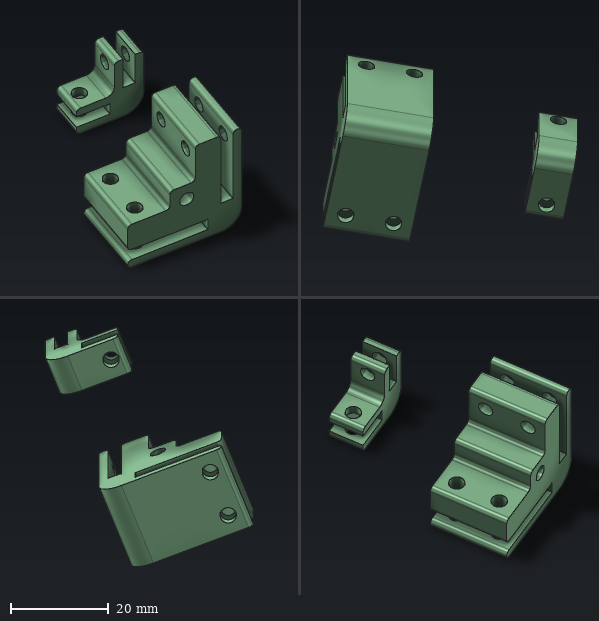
import cadquery as cq


WALL = 2.05
SLOT_WIDTH = 2.9
SLOT_FLOOR = 8.0
SLOT_INNER = WALL + SLOT_WIDTH
CORNER_RADIUS = 5.0
EDGE_RADIUS = 1.0
HOLE_DIAMETER = 3.3

SMALL_WIDTH = 8.0
SMALL_REACH = 16.0
SMALL_ARM = SLOT_INNER + WALL
SMALL_INNER_RADIUS = 2.0
SMALL_HOLE_SETBACK = 3.0

TOTAL_LENGTH = 48.0
LARGE_WIDTH = 18.0
LARGE_START = TOTAL_LENGTH - LARGE_WIDTH
LARGE_REACH = 27.0
LARGE_UPRIGHT = 11.0
LARGE_BASE = 12.0
STEP_REACH = 17.0
LARGE_HOLE_SETBACK = 4.0
LARGE_HOLE_SPACING = 10.0
LARGE_HOLE_XS = [
    LARGE_START + LARGE_WIDTH / 2 + side * LARGE_HOLE_SPACING / 2 for side in (-1, 1)
]
CROSS_HOLE_OFFSET = 13.0


def extrude_profile(points, start_x, width):
    """Extrude a (distance from the back face, height) outline along +X."""
    outline = [(-distance, height) for distance, height in points]
    return cq.Workplane("YZ", origin=(start_x, 0, 0)).polyline(outline).close().extrude(width)


def round_edges(body, corners, radius):
    """Round the lengthwise edges that pass through the given profile corners."""
    middle_x = body.val().BoundingBox().center.x
    edges = body.edges("|X").vals()
    for distance, height in corners:
        target = cq.Vector(middle_x, -distance, height)
        edge = min(edges, key=lambda candidate: (candidate.Center() - target).Length)
        body = body.newObject([edge]).fillet(radius)
        edges = body.edges("|X").vals()
    return body


def cut_slots(body, start_x, width, reach):
    """Cut one panel slot into the open end of each arm."""
    depth = reach - SLOT_FLOOR
    upright_slot = cq.Workplane("XY").box(width, SLOT_WIDTH, depth, centered=False)
    base_slot = cq.Workplane("XY").box(width, depth, SLOT_WIDTH, centered=False)
    body = body.cut(upright_slot.translate((start_x, -SLOT_INNER, SLOT_FLOOR)))
    return body.cut(base_slot.translate((start_x, -reach, WALL)))


def drill_arms(body, hole_xs, offset, reach):
    """Drill through both arms, with the hole axes at offset from the outer corner."""
    radius = HOLE_DIAMETER / 2
    for x in hole_xs:
        through_upright = cq.Solid.makeCylinder(radius, reach, cq.Vector(x, 0, offset), cq.Vector(0, -1, 0))
        through_base = cq.Solid.makeCylinder(radius, reach, cq.Vector(x, -offset, 0), cq.Vector(0, 0, 1))
        body = body.cut(through_upright).cut(through_base)
    return body


def make_small_bracket():
    inner_corner = (SMALL_ARM, SMALL_ARM)
    arm_end_corners = [
        (SMALL_REACH, 0),
        (SMALL_REACH, SMALL_ARM),
        (SMALL_ARM, SMALL_REACH),
        (0, SMALL_REACH),
    ]
    body = extrude_profile(
        [(0, 0), *arm_end_corners[:2], inner_corner, *arm_end_corners[2:]], 0, SMALL_WIDTH
    )
    body = round_edges(body, [(0, 0)], CORNER_RADIUS)
    body = round_edges(body, [inner_corner], SMALL_INNER_RADIUS)
    body = round_edges(body, arm_end_corners, EDGE_RADIUS)
    body = cut_slots(body, 0, SMALL_WIDTH, SMALL_REACH)
    return drill_arms(body, [SMALL_WIDTH / 2], SMALL_REACH - SMALL_HOLE_SETBACK, SMALL_REACH)


def round_plate_ends(body):
    """Give the end of each outer plate of the large bracket a full round."""
    radius = WALL / 2
    round_center = LARGE_REACH - radius
    for y, z, size_y, size_z in (
        (-WALL, round_center, WALL, radius),
        (-LARGE_REACH, 0, radius, WALL),
    ):
        square_end = cq.Workplane("XY").box(LARGE_WIDTH, size_y, size_z, centered=False)
        body = body.cut(square_end.translate((LARGE_START, y, z)))
    for y, z in ((-radius, round_center), (-round_center, radius)):
        round_end = cq.Solid.makeCylinder(
            radius, LARGE_WIDTH, cq.Vector(LARGE_START, y, z), cq.Vector(1, 0, 0)
        )
        body = body.union(round_end)
    return body.clean()


def make_large_bracket():
    inner_corners = [
        (LARGE_REACH, LARGE_BASE),
        (STEP_REACH, LARGE_BASE),
        (STEP_REACH, STEP_REACH),
        (LARGE_UPRIGHT, STEP_REACH),
        (LARGE_UPRIGHT, LARGE_REACH),
    ]
    slot_mouth_corners = [(LARGE_REACH, SLOT_INNER), (SLOT_INNER, LARGE_REACH)]
    body = extrude_profile(
        [(0, 0), (LARGE_REACH, 0), *inner_corners, (0, LARGE_REACH)], LARGE_START, LARGE_WIDTH
    )
    body = cut_slots(body, LARGE_START, LARGE_WIDTH, LARGE_REACH)
    body = round_edges(body, [(0, 0)], CORNER_RADIUS)
    body = round_edges(body, inner_corners + slot_mouth_corners, EDGE_RADIUS)
    body = round_plate_ends(body)
    body = drill_arms(body, LARGE_HOLE_XS, LARGE_REACH - LARGE_HOLE_SETBACK, LARGE_REACH)
    cross_hole = cq.Solid.makeCylinder(
        HOLE_DIAMETER / 2,
        LARGE_WIDTH,
        cq.Vector(LARGE_START, -CROSS_HOLE_OFFSET, CROSS_HOLE_OFFSET),
        cq.Vector(1, 0, 0),
    )
    return body.cut(cross_hole)


small_bracket = make_small_bracket()
large_bracket = make_large_bracket()

result = cq.Compound.makeCompound([small_bracket.solids().val(), large_bracket.solids().val()])